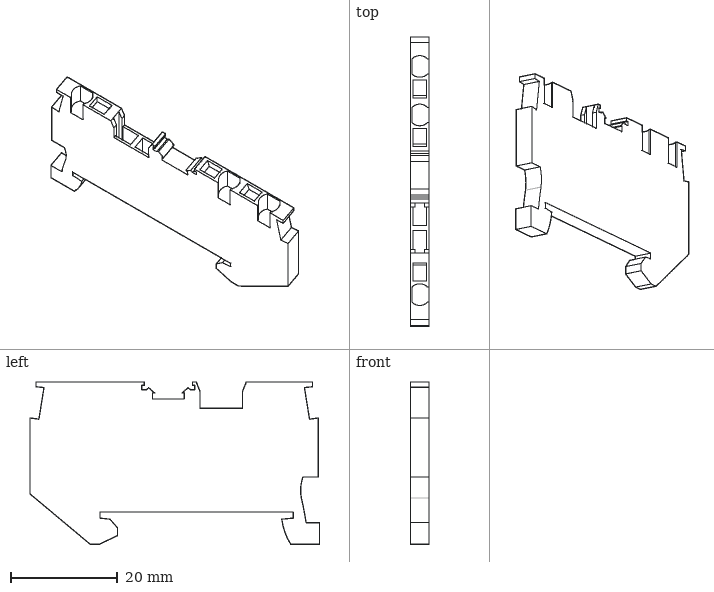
import cadquery as cq

THICKNESS = 3.5
LENGTH = 54.3
HEIGHT = 30.5
MID_X = THICKNESS / 2

FRONT_END_Y = 0.2
SHOULDER_Z = 23.75
STEP_INNER_Z = 23.5
LIP_EDGE_Z = 29.55
LIP_INNER_Z = 29.4
LIP_SETBACK = 1.1
NECK_TOP_SETBACK = 2.6
NECK_BOTTOM_SETBACK = 1.65

FLANK_TOP_Z = 9.45
HOOK_HEEL_Y = 43.0
HOOK_SOLE_Y = 41.3
HOOK_TIP_Y = 37.85
HOOK_TIP_LOW_Z = 1.65
HOOK_TIP_HIGH_Z = 3.1
HOOK_CATCH_Y = 39.3

SEAT_Z = 6.05
SEAT_FRONT_Y = 4.95
SEAT_BACK_Y = 41.15
SEAT_GROOVE_Z = 4.95
CATCH_Z = 4.75

SNAP_CATCH_Y = 7.1
SNAP_NOSE_MID = (6.52, 2.3)
SNAP_SOLE_Y = 5.4
SNAP_BLOCK_Z = 4.1
SNAP_NECK_BOTTOM_Y = 2.5
SNAP_NECK_MID = (2.95, 6.7)
SNAP_NECK_TOP = (3.38, 8.7)
SNAP_BEND_MID = (3.5, 10.6)
SNAP_BEND_TOP = (3.1, 12.6)

WELL_FRONT_Y = 14.45
WELL_BACK_Y = 22.4
WELL_FLOOR_Z = 25.55
WELL_BEVEL_Z = 28.7
WELL_BEVEL_RUN = 0.7

MARKER_MID_Y = 28.35
MARKER_FLOOR_Z = 27.3
MARKER_HALF_FLOOR = 2.95
BARB_TIP = (2.55, 28.4)
BARB_PEAK = (3.7, 29.4)
GROOVE_INNER = 4.1
GROOVE_OUTER = 4.95
GROOVE_FLOOR_Z = 29.05
GROOVE_ROOF_Z = 29.85
MARKER_HALF_MOUTH = 4.5

ENTRY_CENTRES_Y = (5.95, 39.65, 48.75)
ENTRY_RADIUS = 2.03
ENTRY_HALF_WIDTH = 1.46
ENTRY_DEPTH = 5.0

POCKET_WIDTH = 2.5
POCKET_LENGTH = 3.35
POCKET_DEPTH = 1.6
POCKET_SLOPE_RUN = 0.4
POCKETS = ((10.2, 1), (35.45, -1), (44.55, -1))

WEB_FRONT_Y = 17.95
WEB_BACK_Y = 18.95
BRIDGE_DEPTH = 5.0
BRIDGE_SLOT_WIDTH = 1.75


def marker_points(side):
    """Points of one side of the marker seat, from its floor up to its mouth."""
    offsets = [
        (MARKER_HALF_FLOOR, MARKER_FLOOR_Z),
        (MARKER_HALF_FLOOR, BARB_TIP[1]),
        BARB_TIP,
        BARB_PEAK,
        (GROOVE_INNER, GROOVE_FLOOR_Z),
        (GROOVE_OUTER, GROOVE_FLOOR_Z),
        (GROOVE_OUTER, GROOVE_ROOF_Z),
        (MARKER_HALF_MOUTH, GROOVE_ROOF_Z),
        (MARKER_HALF_MOUTH, HEIGHT),
    ]
    return [(MARKER_MID_Y + side * offset, z) for offset, z in offsets]


def end_points(end_y, inward):
    """Points of one stepped end, from its shoulder up to the top of its lip."""
    return [
        (end_y, SHOULDER_Z),
        (end_y + inward * NECK_BOTTOM_SETBACK, STEP_INNER_Z),
        (end_y + inward * NECK_TOP_SETBACK, LIP_INNER_Z),
        (end_y + inward * LIP_SETBACK, LIP_EDGE_Z),
        (end_y + inward * LIP_SETBACK, HEIGHT),
    ]


def body():
    """The side outline extruded through the full thickness."""
    hook_and_seat = [
        (LENGTH, FLANK_TOP_Z),
        (HOOK_HEEL_Y, 0),
        (HOOK_SOLE_Y, 0),
        (HOOK_TIP_Y, HOOK_TIP_LOW_Z),
        (HOOK_TIP_Y, HOOK_TIP_HIGH_Z),
        (HOOK_CATCH_Y, CATCH_Z),
        (SEAT_BACK_Y, SEAT_GROOVE_Z),
        (SEAT_BACK_Y, SEAT_Z),
        (SEAT_FRONT_Y, SEAT_Z),
        (SEAT_FRONT_Y, SEAT_GROOVE_Z),
        (SNAP_CATCH_Y, CATCH_Z),
    ]
    snap_block = [
        (0, 0),
        (0, SNAP_BLOCK_Z),
        (SNAP_NECK_BOTTOM_Y, SNAP_BLOCK_Z),
    ]
    bridge_well = [
        (WELL_FRONT_Y - WELL_BEVEL_RUN, HEIGHT),
        (WELL_FRONT_Y, WELL_BEVEL_Z),
        (WELL_FRONT_Y, WELL_FLOOR_Z),
        (WELL_BACK_Y, WELL_FLOOR_Z),
        (WELL_BACK_Y, WELL_BEVEL_Z),
        (WELL_BACK_Y + WELL_BEVEL_RUN, HEIGHT),
    ]
    front_end = [(FRONT_END_Y, SNAP_BEND_TOP[1])] + end_points(FRONT_END_Y, 1)
    marker_seat = marker_points(-1)[::-1] + marker_points(1)
    back_end = end_points(LENGTH, -1)[::-1]

    outline = cq.Workplane("YZ").polyline(hook_and_seat)
    outline = outline.threePointArc(SNAP_NOSE_MID, (SNAP_SOLE_Y, 0))
    outline = outline.polyline(snap_block, includeCurrent=True)
    outline = outline.threePointArc(SNAP_NECK_MID, SNAP_NECK_TOP)
    outline = outline.threePointArc(SNAP_BEND_MID, SNAP_BEND_TOP)
    upper_points = front_end + bridge_well + marker_seat + back_end
    outline = outline.polyline(upper_points, includeCurrent=True)
    return outline.close().extrude(THICKNESS)


def block(x_range, y_range, z_range):
    """A box spanning the given (low, high) ranges."""
    sizes = [high - low for low, high in (x_range, y_range, z_range)]
    corner = (x_range[0], y_range[0], z_range[0])
    return cq.Workplane("XY").box(*sizes, centered=False).translate(corner)


def centred_x(width):
    """The X range of a feature of this width on the mid-plane."""
    return (MID_X - width / 2, MID_X + width / 2)


def conductor_entry(centre_y):
    """A round well cut flat on both sides, with its +X flat opened through the wall."""
    z_range = (HEIGHT - ENTRY_DEPTH, HEIGHT)
    flats = block(
        centred_x(2 * ENTRY_HALF_WIDTH),
        (centre_y - ENTRY_RADIUS, centre_y + ENTRY_RADIUS),
        z_range,
    )
    well = cq.Workplane("XY", origin=(MID_X, centre_y, z_range[0]))
    well = well.circle(ENTRY_RADIUS).extrude(ENTRY_DEPTH).intersect(flats)
    half_opening = (ENTRY_RADIUS**2 - ENTRY_HALF_WIDTH**2) ** 0.5
    opening = block(
        (MID_X, THICKNESS),
        (centre_y - half_opening, centre_y + half_opening),
        z_range,
    )
    return well.union(opening)


def release_pocket(centre_y, sloped_end):
    """A shallow rectangular pocket whose end wall on one side slopes inward."""
    sloped_y = centre_y + sloped_end * POCKET_LENGTH / 2
    upright_y = centre_y - sloped_end * POCKET_LENGTH / 2
    floor_z = HEIGHT - POCKET_DEPTH
    section = [
        (upright_y, HEIGHT),
        (upright_y, floor_z),
        (sloped_y - sloped_end * POCKET_SLOPE_RUN, floor_z),
        (sloped_y, HEIGHT),
    ]
    start_x = MID_X - POCKET_WIDTH / 2
    return cq.Workplane("YZ", origin=(start_x, 0, 0)).polyline(section).close().extrude(POCKET_WIDTH)


def bridge_pocket(web_y, wall_y, bevel_direction):
    """A pocket in the well floor and the narrow slot rising from it through the well's bevelled wall."""
    floor_z = WELL_FLOOR_Z - BRIDGE_DEPTH
    slot_end_y = wall_y + bevel_direction * WELL_BEVEL_RUN
    pocket = block(centred_x(POCKET_WIDTH), sorted((web_y, wall_y)), (floor_z, WELL_FLOOR_Z))
    slot = block(centred_x(BRIDGE_SLOT_WIDTH), sorted((wall_y, slot_end_y)), (floor_z, HEIGHT))
    return pocket.union(slot)


result = body()
for entry_y in ENTRY_CENTRES_Y:
    result = result.cut(conductor_entry(entry_y))
for pocket_y, sloped_end in POCKETS:
    result = result.cut(release_pocket(pocket_y, sloped_end))
result = result.cut(bridge_pocket(WEB_FRONT_Y, WELL_FRONT_Y, -1))
result = result.cut(bridge_pocket(WEB_BACK_Y, WELL_BACK_Y, 1))